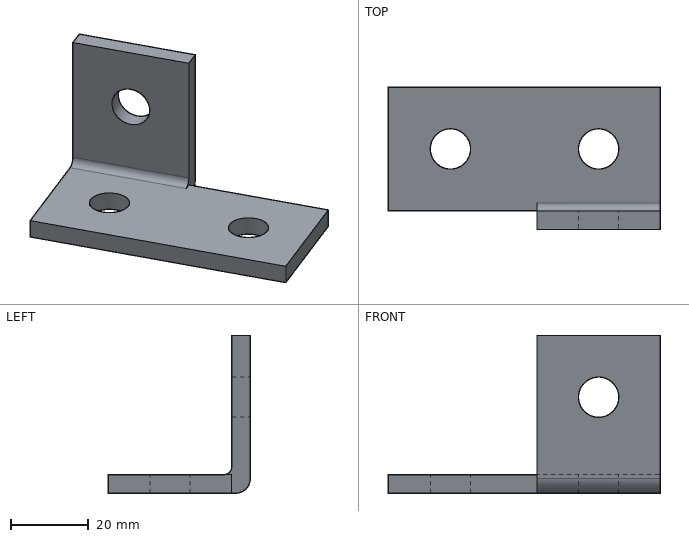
import cadquery as cq

length = 69.85
leg_width = 31.7
thickness = 4.8
height = 40.5
hole_diameter = 10.3
hole_edge_distance = leg_width / 2
far_hole_x = 16.0
outer_bend_radius = 3.85
inner_bend_radius = 2.0

tab_start_x = length - leg_width
tab_hole_x = length - hole_edge_distance


def make_base():
    """Flat leg with two through holes; its front edge lies on Y = 0."""
    base = cq.Workplane("XY").box(length, leg_width, thickness, centered=False)
    holes = (
        cq.Workplane("XY")
        .pushPoints([(far_hole_x, hole_edge_distance), (tab_hole_x, hole_edge_distance)])
        .circle(hole_diameter / 2)
        .extrude(thickness)
    )
    return base.cut(holes)


def make_tab():
    """Upright leg in front of the base, with rounded bend and through hole."""
    profile = (
        cq.Workplane("YZ", origin=(tab_start_x, 0, 0))
        .moveTo(0, 0)
        .lineTo(outer_bend_radius - thickness, 0)
        .radiusArc((-thickness, outer_bend_radius), outer_bend_radius)
        .lineTo(-thickness, height)
        .lineTo(0, height)
        .close()
    )
    hole = (
        cq.Workplane("XZ")
        .center(tab_hole_x, height - hole_edge_distance)
        .circle(hole_diameter / 2)
        .extrude(thickness)
    )
    return profile.extrude(leg_width).cut(hole)


def make_inner_bend():
    """Concave fillet joining the top of the base to the back of the tab."""
    return (
        cq.Workplane("YZ", origin=(tab_start_x, 0, 0))
        .moveTo(0, thickness)
        .lineTo(inner_bend_radius, thickness)
        .radiusArc((0, thickness + inner_bend_radius), inner_bend_radius)
        .close()
        .extrude(leg_width)
    )


result = make_base().union(make_tab()).union(make_inner_bend())